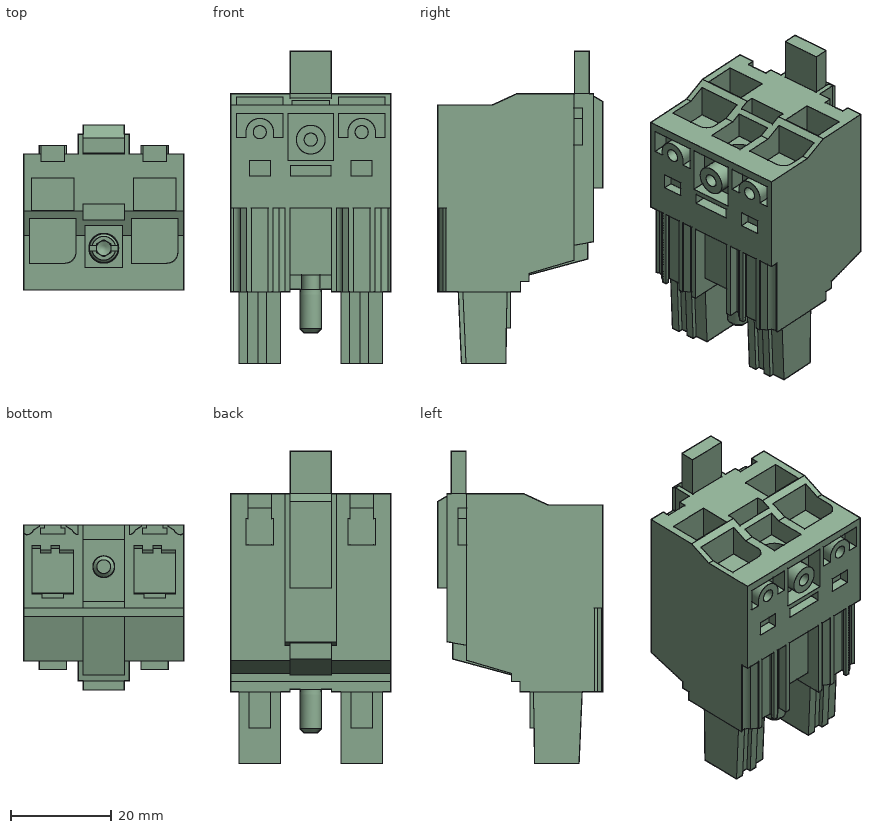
import cadquery as cq
import math


WIDTH = 32.0
HALF_WIDTH = WIDTH / 2
POLE_PITCH = 20.35
POLE_X = (-POLE_PITCH / 2, POLE_PITCH / 2)
BACK_Y = 27.25
FRONT_TOP_Z = 37.35
TOP_Z = 39.6
SLOPE_START_Y = 10.9
SLOPE_END_Y = 15.8

LEG_BACK_Y = 16.6
STEP_BACK_Y = 18.3
STEP_Z = 2.05
UNDERSIDE_LOW_Z = 3.7
UNDERSIDE_BACK_Z = 6.3

EAR_WIDTH = 10.25
EAR_BACK_Y = 31.15
EAR_BOTTOM_FRONT_Z = 9.3
EAR_BOTTOM_BACK_Z = 10.0
KEEL_BACK_Y = 30.05
KEEL_BACK_Z = 6.55
KEEL_FRONT_Z = 3.4

LEVER_WIDTH = 8.25
LEVER_CLEARANCE = 0.1
LEVER_FRONT_Y = BACK_Y + LEVER_CLEARANCE
LEVER_TOP_Z = 48.1
LEVER_BOTTOM_Z = 20.75
TAB_BACK_Y = 30.35
HUMP_BACK_Y = 33.05
HUMP_BACK_TOP_Z = 38.05

CHANNEL_WIDTH = LEVER_WIDTH
CHANNEL_TOP_Z = 16.8
CHANNEL_DEPTH = 2.95
WEB_THICKNESS = 1.25
WEB_BOTTOM_Z = 0.5

RIB_WIDTH = 1.0
KEYWAY_HALF_WIDTH = 1.7
KEYWAY_LIP = 0.7
KEYWAY_UNDERCUT_HALF_WIDTH = 2.45
KEYWAY_DEPTH = 1.9
LAND_OUTER = 2.6
LAND_STEP = 0.25
ARC_INNER = (3.9, 1.05)
ARC_MIDDLE = (4.45, 1.75)
ARC_OUTER = (5.25, 2.0)
LEG_EDGE_DEPTH = 1.7

PRONG_LENGTH = 14.35
PRONG_FRONT_Y = 4.1
PRONG_FRONT_DRAFT = 0.6
PRONG_BACK_Y = 13.85
PRONG_BACK_DRAFT = 0.2
PRONG_RECESS = 0.95
PRONG_HALF_WIDTH = 4.2
PRONG_STRIPS = (
    (-PRONG_HALF_WIDTH, -2.45, 0),
    (-2.45, -0.3, PRONG_RECESS),
    (-0.3, 1.3, 0),
    (1.3, PRONG_HALF_WIDTH, PRONG_RECESS),
)
PRONG_RIB_WIDTH = 4.25
PRONG_RIB_BACK_Y = 14.6
PRONG_RIB_LENGTH = 7.25

WIRE_POCKET_WIDTH = 9.25
WIRE_POCKET_Y = (5.4, 14.3)
WIRE_POCKET_RADIUS = 2.2
WIRE_POCKET_FLOOR_Z = 32.3
TOOL_POCKET_WIDTH = 8.5
TOOL_POCKET_Y = (15.9, 22.4)
TOOL_POCKET_FLOOR_Z = 27.1
SLIT_WIDTH = LEVER_WIDTH
SLIT_Y = (14.0, 17.2)
SLIT_FLOOR_Z = 32.3
SCREW_POCKET_WIDTH = 7.5
SCREW_POCKET_Y = (4.55, 12.85)
SCREW_POCKET_FLOOR_Z = 32.85

WINDOW_DEPTH = 3.25
WINDOW_TOP_Z = 35.65
TEST_HOLE_RADIUS = 1.3
POLE_WINDOW_WIDTH = 9.25
POLE_WINDOW_BOTTOM_Z = 30.85
POLE_BOSS_Z = 31.9
POLE_BOSS_RADIUS = 2.75
CENTRE_WINDOW_WIDTH = 9.05
CENTRE_WINDOW_BOTTOM_Z = 26.3
CENTRE_BOSS_Z = 30.4
CENTRE_BOSS_RADIUS = 2.9
SMALL_WINDOW_WIDTH = 4.2
SMALL_WINDOW_Z = (23.2, 26.3)
SMALL_WINDOW_DEPTH = 1.9
SLOT_WINDOW_WIDTH = 8.0
SLOT_WINDOW_Z = (23.2, 25.3)
SLOT_WINDOW_DEPTH = 4.4

CLIP_NECK_WIDTH = 4.6
CLIP_WIDTH = 5.5
CLIP_FRONT_Y = 25.75
CLIP_BACK_Y = 28.9
CLIP_BOTTOM_Z = 29.35
CLIP_WING_TOP_Z = 34.6
CLIP_TOP_Z = 36.7

SCREW_Y = 8.4
NECK_RADIUS = 1.8
THREAD_RADIUS = 2.2
THREAD_LEAD_RADIUS = 2.1
THREAD_TOP_Z = 0.5
THREAD_LEAD_Z = -0.6
SCREW_TIP_Z = -8.2
TIP_CHAMFER = 0.8
SCREW_HOLE_RADIUS = 3.0
HEAD_RADIUS = 2.9
HEAD_BOTTOM_Z = 26.25
HEAD_TOP_Z = 29.35
HEAD_CHAMFER = 0.5
SLOT_WIDTH = 1.05
SLOT_DEPTH = 0.6
HEX_ACROSS_FLATS = 2.95
HEX_DEPTH = 1.25
HEX_POINT_DEPTH = 0.55


def block(x_range, y_range, z_range):
    """Box between two limits along each axis."""
    (x0, x1), (y0, y1), (z0, z1) = x_range, y_range, z_range
    return cq.Workplane("XY").box(x1 - x0, y1 - y0, z1 - z0, centered=False).translate((x0, y0, z0))


def centred_block(x, width, y_range, z_range):
    """Box centred on x."""
    return block((x - width / 2, x + width / 2), y_range, z_range)


def side_prism(points, x0, x1):
    """Prism with a (y, z) outline, running from x0 to x1."""
    return cq.Workplane("YZ", origin=(x0, 0, 0)).polyline(points).close().extrude(x1 - x0)


def front_cylinder(x, z, radius, depth):
    """Cylinder running back from the front face."""
    return cq.Workplane("XZ", origin=(x, 0, z)).circle(radius).extrude(-depth)


def upright_cylinder(radius, z0, z1):
    """Cylinder on the screw axis."""
    return cq.Workplane("XY", origin=(0, SCREW_Y, z0)).circle(radius).extrude(z1 - z0)


def make_shell():
    """Side outline across the full width, with the back ear and the keel below it."""
    shell = side_prism(
        [
            (0, 0),
            (0, FRONT_TOP_Z),
            (SLOPE_START_Y, FRONT_TOP_Z),
            (SLOPE_END_Y, TOP_Z),
            (BACK_Y, TOP_Z),
            (BACK_Y, UNDERSIDE_BACK_Z),
            (STEP_BACK_Y, UNDERSIDE_LOW_Z),
            (STEP_BACK_Y, STEP_Z),
            (LEG_BACK_Y, STEP_Z),
            (LEG_BACK_Y, 0),
        ],
        -HALF_WIDTH,
        HALF_WIDTH,
    )
    ear = side_prism(
        [
            (BACK_Y, EAR_BOTTOM_FRONT_Z),
            (BACK_Y, TOP_Z),
            (EAR_BACK_Y, TOP_Z),
            (EAR_BACK_Y, EAR_BOTTOM_BACK_Z),
        ],
        -EAR_WIDTH / 2,
        EAR_WIDTH / 2,
    )
    keel = side_prism(
        [
            (STEP_BACK_Y, KEEL_FRONT_Z),
            (STEP_BACK_Y, EAR_BOTTOM_BACK_Z),
            (KEEL_BACK_Y, EAR_BOTTOM_BACK_Z),
            (KEEL_BACK_Y, KEEL_BACK_Z),
        ],
        -LEVER_WIDTH / 2,
        LEVER_WIDTH / 2,
    )
    return shell.union(ear).union(keel)


def make_prong(x):
    """Plug prong under one leg: tapered strips side by side and a short rib at the back."""
    rib_front_y = PRONG_BACK_Y - PRONG_BACK_DRAFT
    prong = centred_block(x, PRONG_RIB_WIDTH, (rib_front_y, PRONG_RIB_BACK_Y), (-PRONG_RIB_LENGTH, 0))
    for left, right, recess in PRONG_STRIPS:
        front_y = PRONG_FRONT_Y + recess
        outline = [
            (front_y, 0),
            (PRONG_BACK_Y, 0),
            (PRONG_BACK_Y - PRONG_BACK_DRAFT, -PRONG_LENGTH),
            (front_y + PRONG_FRONT_DRAFT, -PRONG_LENGTH),
        ]
        prong = prong.union(side_prism(outline, x + left, x + right))
    return prong


def make_channel():
    """Front recess between the legs and the space below the body around the screw."""
    web_front_y = LEG_BACK_Y - WEB_THICKNESS
    recess = centred_block(0, CHANNEL_WIDTH, (0, CHANNEL_DEPTH), (0, CHANNEL_TOP_Z))
    screw_space = centred_block(0, CHANNEL_WIDTH, (0, web_front_y), (0, KEEL_FRONT_Z))
    web_gap = centred_block(0, CHANNEL_WIDTH, (web_front_y, LEG_BACK_Y), (0, WEB_BOTTOM_Z))
    return recess.union(screw_space).union(web_gap)


def make_leg_grooves(x):
    """T-shaped keyway in the middle of a leg and a round-bottomed hollow on either side of it."""
    opening = centred_block(x, 2 * KEYWAY_HALF_WIDTH, (0, KEYWAY_DEPTH), (0, CHANNEL_TOP_Z))
    undercut = centred_block(
        x,
        2 * KEYWAY_UNDERCUT_HALF_WIDTH,
        (KEYWAY_LIP, KEYWAY_DEPTH),
        (0, CHANNEL_TOP_Z),
    )
    leg_half_width = HALF_WIDTH - POLE_PITCH / 2
    hollow = (
        cq.Workplane("XY")
        .moveTo(LAND_OUTER, 0)
        .lineTo(LAND_OUTER, LAND_STEP)
        .lineTo(*ARC_INNER)
        .threePointArc(ARC_MIDDLE, ARC_OUTER)
        .lineTo(leg_half_width, LEG_EDGE_DEPTH)
        .lineTo(leg_half_width, 0)
        .close()
        .extrude(CHANNEL_TOP_Z)
    )
    hollows = hollow.union(hollow.mirror("YZ")).translate((x, 0, 0))
    ribs = centred_block(0, CHANNEL_WIDTH + 2 * RIB_WIDTH, (0, LEG_BACK_Y), (0, CHANNEL_TOP_Z))
    return opening.union(undercut).union(hollows.cut(ribs))


def make_wire_pocket(x):
    """Wire entry with one rounded corner."""
    pocket = centred_block(x, WIRE_POCKET_WIDTH, WIRE_POCKET_Y, (WIRE_POCKET_FLOOR_Z, TOP_Z))
    return pocket.edges("|Z and >X and <Y").fillet(WIRE_POCKET_RADIUS)


def make_pole_window(x):
    """Window around the upper half of a boss that stands on the window's lower edge."""
    boss = front_cylinder(x, POLE_BOSS_Z, POLE_BOSS_RADIUS, WINDOW_DEPTH)
    foot = centred_block(x, 2 * POLE_BOSS_RADIUS, (0, WINDOW_DEPTH), (POLE_WINDOW_BOTTOM_Z, POLE_BOSS_Z))
    window = centred_block(x, POLE_WINDOW_WIDTH, (0, WINDOW_DEPTH), (POLE_WINDOW_BOTTOM_Z, WINDOW_TOP_Z))
    return window.cut(boss).cut(foot).union(front_cylinder(x, POLE_BOSS_Z, TEST_HOLE_RADIUS, WINDOW_DEPTH))


def make_centre_window():
    """Window around a free-standing round boss."""
    z_range = (CENTRE_WINDOW_BOTTOM_Z, WINDOW_TOP_Z)
    window = centred_block(0, CENTRE_WINDOW_WIDTH, (0, WINDOW_DEPTH), z_range)
    boss = front_cylinder(0, CENTRE_BOSS_Z, CENTRE_BOSS_RADIUS, WINDOW_DEPTH)
    return window.cut(boss).union(front_cylinder(0, CENTRE_BOSS_Z, TEST_HOLE_RADIUS, WINDOW_DEPTH))


def make_housing():
    housing = make_shell().cut(make_channel())

    for x in POLE_X:
        housing = housing.union(make_prong(x))
        housing = housing.cut(make_leg_grooves(x))
        housing = housing.cut(make_wire_pocket(x))
        housing = housing.cut(centred_block(x, TOOL_POCKET_WIDTH, TOOL_POCKET_Y, (TOOL_POCKET_FLOOR_Z, TOP_Z)))
        housing = housing.cut(make_pole_window(x))
        housing = housing.cut(centred_block(x, SMALL_WINDOW_WIDTH, (0, SMALL_WINDOW_DEPTH), SMALL_WINDOW_Z))
        housing = housing.cut(centred_block(x, CLIP_NECK_WIDTH, (CLIP_FRONT_Y, BACK_Y), (CLIP_BOTTOM_Z, TOP_Z)))

    housing = housing.cut(centred_block(0, SLIT_WIDTH, SLIT_Y, (SLIT_FLOOR_Z, TOP_Z)))
    housing = housing.cut(make_centre_window())
    housing = housing.cut(centred_block(0, SLOT_WINDOW_WIDTH, (0, SLOT_WINDOW_DEPTH), SLOT_WINDOW_Z))

    housing = housing.cut(centred_block(0, SCREW_POCKET_WIDTH, SCREW_POCKET_Y, (SCREW_POCKET_FLOOR_Z, TOP_Z)))
    housing = housing.cut(upright_cylinder(SCREW_HOLE_RADIUS, HEAD_BOTTOM_Z, SCREW_POCKET_FLOOR_Z))
    housing = housing.cut(upright_cylinder(NECK_RADIUS, 0, HEAD_BOTTOM_Z))

    lever_slot = centred_block(0, LEVER_WIDTH, (BACK_Y, EAR_BACK_Y), (LEVER_BOTTOM_Z, TOP_Z))
    return housing.cut(lever_slot)


def make_lever():
    """Sliding lever: a tab standing above the housing and a hump behind the ear."""
    return side_prism(
        [
            (LEVER_FRONT_Y, LEVER_BOTTOM_Z),
            (LEVER_FRONT_Y, LEVER_TOP_Z),
            (TAB_BACK_Y, LEVER_TOP_Z),
            (TAB_BACK_Y, TOP_Z),
            (HUMP_BACK_Y, HUMP_BACK_TOP_Z),
            (HUMP_BACK_Y, LEVER_BOTTOM_Z),
        ],
        -LEVER_WIDTH / 2,
        LEVER_WIDTH / 2,
    )


def make_clip(x):
    """Clip with a neck in the housing's notch and a wider head against the back face."""
    neck = centred_block(x, CLIP_NECK_WIDTH, (CLIP_FRONT_Y, CLIP_BACK_Y), (CLIP_BOTTOM_Z, CLIP_TOP_Z))
    head = centred_block(x, CLIP_WIDTH, (BACK_Y, CLIP_BACK_Y), (CLIP_BOTTOM_Z, CLIP_WING_TOP_Z))
    return neck.union(head)


def make_screw():
    """Turned screw with a slot and a hexagonal socket with a conical bottom."""
    turned = (
        cq.Workplane("XZ", origin=(0, SCREW_Y, 0))
        .polyline(
            [
                (0, SCREW_TIP_Z),
                (THREAD_RADIUS - TIP_CHAMFER, SCREW_TIP_Z),
                (THREAD_RADIUS, SCREW_TIP_Z + TIP_CHAMFER),
                (THREAD_RADIUS, THREAD_LEAD_Z),
                (THREAD_LEAD_RADIUS, THREAD_TOP_Z),
                (NECK_RADIUS, THREAD_TOP_Z),
                (NECK_RADIUS, HEAD_BOTTOM_Z),
                (HEAD_RADIUS, HEAD_BOTTOM_Z),
                (HEAD_RADIUS, HEAD_TOP_Z - HEAD_CHAMFER),
                (HEAD_RADIUS - HEAD_CHAMFER, HEAD_TOP_Z),
                (0, HEAD_TOP_Z),
            ]
        )
        .close()
        .revolve(360, (0, 0, 0), (0, 1, 0))
    )
    slot = centred_block(
        0,
        2 * HEAD_RADIUS,
        (SCREW_Y - SLOT_WIDTH / 2, SCREW_Y + SLOT_WIDTH / 2),
        (HEAD_TOP_Z - SLOT_DEPTH, HEAD_TOP_Z),
    )
    hex_floor_z = HEAD_TOP_Z - HEX_DEPTH
    hex_socket = (
        cq.Workplane("XY", origin=(0, SCREW_Y, hex_floor_z))
        .transformed(rotate=(0, 0, 90))
        .polygon(6, HEX_ACROSS_FLATS / math.cos(math.pi / 6))
        .extrude(HEX_DEPTH)
    )
    point = cq.Workplane(
        cq.Solid.makeCone(
            0,
            HEX_ACROSS_FLATS / 2,
            HEX_POINT_DEPTH,
            pnt=cq.Vector(0, SCREW_Y, hex_floor_z - HEX_POINT_DEPTH),
        )
    )
    return turned.cut(slot).cut(hex_socket).cut(point)


lever = make_lever()
housing = make_housing()
screw = make_screw()
clips = [make_clip(x) for x in POLE_X]

result = cq.Compound.makeCompound(
    [housing.val(), lever.val(), screw.val(), *[clip.val() for clip in clips]]
)